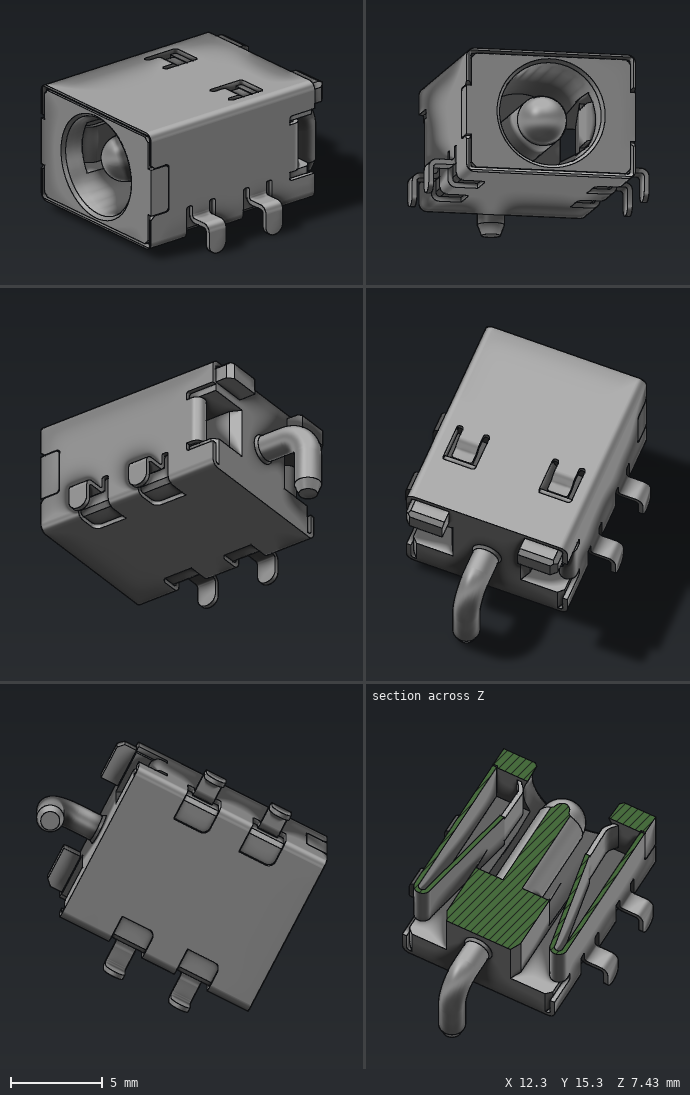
import cadquery as cq
import math


shell_width = 9.44
shell_height = 6.86
shell_depth = 11.51
sheet = 0.27
bend_outer = 0.45
bend_inner = bend_outer - sheet
lip_chamfer = 0.15
half_width = shell_width / 2
half_height = shell_height / 2

housing_width = shell_width - 2 * sheet
housing_height = shell_height - 2 * sheet
housing_half_width = housing_width / 2
housing_half_height = housing_height / 2
housing_chamfer = 0.26
rear_edge_chamfer = 0.32

mouth_radius = 3.02
mouth_chamfer = 0.18
bore_radius = mouth_radius - mouth_chamfer
floor_radius = 2.55
bore_depth = 7.62

channel_floor_x = 2.29
channel_half_height = 1.5
channel_front = 1.31
channel_flare_length = 0.63
channel_flare_depth = 0.3

key_depth = 1.22
key_half_height = 1.35
key_corner = 0.23
key_gap = 0.05
notch_lead_depth = 0.25
notch_lead_height = 0.21

window_front = 9.76
window_half_height = 1.9
window_corner = 0.15

spring_bend_y = 10.1
spring_bend_radius = 0.5
spring_root_half_height = 1.4
spring_finger_half_height = 1.05
spring_finger_back_y = 3.96
spring_finger_back_x = 2.5
spring_contact_x = 2.45
spring_contact_y = 2.1
spring_contact_radius = 0.65
spring_flare_angle = math.radians(40)
spring_tip_y = 1.37

leg_positions = (3.5, 7.5)
leg_width = 1.19
leg_tip_radius = 0.58
leg_span = 12.3
leg_outer_x = leg_span / 2
leg_top = -2.23
leg_bottom = -4.0
leg_slot_width = 0.41
leg_slot_top = -1.5
leg_slot_corner = 0.14
leg_opening_inner_x = 3.05
leg_opening_corner = 0.41

latch_center_x = 2.8
latch_front = 6.42
latch_back = 8.71
latch_width = 1.9
latch_slot = 0.35
latch_slot_corner = 0.15
latch_end_gap = 0.44
latch_corner = 0.18
latch_tab_corner = 0.15
latch_bend_front = 7.08
latch_bend_back = 7.76
latch_bend_inner = 0.34
latch_bend_outer = latch_bend_inner + sheet
latch_bend_angle = math.radians(36)
latch_pocket_back = 8.31
latch_pocket_depth = 0.61
latch_pocket_fillet = 0.58

lug_inner_x = 2.21
lug_bottom = 2.05
lug_back = 12.54
lug_top_chamfer = 0.15

pin_radius = 1.37
dome_radius = 1.31
dome_center_y = 2.05
dome_shoulder = 0.15
tail_radius = 0.75
tail_bend_radius = 1.5
tail_back = 15.25
tail_bottom = leg_bottom
tail_tip_radius = 0.52
tail_tip_length = 0.6
collar_radius = 0.85
collar_length = 0.18


def block(x0, x1, y0, y1, z0, z1):
    """Axis-aligned block between two opposite corners."""
    return cq.Workplane("XY").box(x1 - x0, y1 - y0, z1 - z0, centered=False).translate((x0, y0, z0))


def front_section(y=0.0):
    """Sketch plane facing the plug opening: local x is X, local y is Z, extrudes towards -Y."""
    return cq.Workplane("XZ", origin=(0, y, 0))


def both_sides(solid):
    """The given right-hand solid together with its mirror image."""
    return solid.union(solid.mirror("YZ"))


def make_shell():
    """Rounded rectangular tube with a bevelled inner lip at the front."""
    outer = front_section().rect(shell_width, shell_height).extrude(-shell_depth)
    outer = outer.edges("|Y").fillet(bend_outer)
    cavity = front_section().rect(housing_width, housing_height).extrude(-shell_depth)
    cavity = cavity.edges("|Y").fillet(bend_inner)
    shell = outer.cut(cavity)
    lip = (
        front_section()
        .rect(housing_width + 2 * lip_chamfer, housing_height + 2 * lip_chamfer)
        .workplane(offset=-lip_chamfer)
        .rect(housing_width, housing_height)
        .loft()
        .edges("not(|X or |Z)")
        .fillet(bend_inner)
    )
    return shell.cut(lip)


def key_notch():
    """Right-hand notch in the shell front edge, with sloped lead-in corners."""
    reach = key_half_height + key_gap
    notch = block(housing_half_width, half_width, 0, key_depth + key_gap, -reach, reach)
    notch = notch.edges("|X and >Y").fillet(key_corner)
    lead = (
        cq.Workplane("YZ", origin=(housing_half_width, 0, 0))
        .polyline([
            (0, -reach - notch_lead_height),
            (notch_lead_depth, -reach),
            (notch_lead_depth, reach),
            (0, reach + notch_lead_height),
        ])
        .close()
        .extrude(sheet)
    )
    return notch.union(lead)


def rear_window():
    """Right-hand shell window, open at the back, leaving the root of the spring."""
    window = block(
        housing_half_width, half_width, window_front, shell_depth, -window_half_height, window_half_height
    )
    window = window.edges("|X and <Y").fillet(window_corner)
    root = block(
        housing_half_width, half_width, window_front, spring_bend_y,
        -spring_root_half_height, spring_root_half_height,
    )
    return window.cut(root)


def leg_opening(y):
    """Right-hand shell opening from which one solder leg is bent out."""
    half = leg_width / 2 + leg_slot_width
    opening = block(leg_opening_inner_x, half_width, y - half, y + half, -half_height, leg_slot_top)
    opening = opening.edges("|Z and <X and <Y").fillet(leg_opening_corner)
    tongue = block(0, half_width, y - leg_width / 2, y + leg_width / 2, leg_top, leg_slot_top)
    return opening.cut(tongue).edges("|X and >Z").fillet(leg_slot_corner)


def solder_leg(y):
    """Right-hand leg: out from the shell wall, then down to a round end."""
    inner_x = leg_outer_x - sheet
    leg = (
        front_section(y + leg_width / 2)
        .moveTo(housing_half_width, leg_top + bend_inner)
        .lineTo(half_width, leg_top + bend_inner)
        .radiusArc((half_width + bend_inner, leg_top), -bend_inner)
        .lineTo(leg_outer_x - bend_outer, leg_top)
        .radiusArc((leg_outer_x, leg_top - bend_outer), bend_outer)
        .lineTo(leg_outer_x, leg_bottom)
        .lineTo(inner_x, leg_bottom)
        .lineTo(inner_x, leg_top - bend_outer)
        .radiusArc((inner_x - bend_inner, leg_top - sheet), -bend_inner)
        .lineTo(half_width + bend_inner, leg_top - sheet)
        .radiusArc((housing_half_width, leg_top + bend_inner), bend_outer)
        .close()
        .extrude(leg_width)
    )
    return leg.edges("|X and <Z").fillet(leg_tip_radius)


def make_housing():
    """Moulded body with the plug bore, spring channels, side keys and latch pockets."""
    body = front_section().rect(housing_width, housing_height).extrude(-shell_depth)
    body = body.edges("|Y").chamfer(housing_chamfer)

    key = block(0, half_width, 0, key_depth, -key_half_height, key_half_height)
    body = body.union(both_sides(key.edges("|X and >Y").fillet(key_corner)))

    bore = (
        cq.Workplane("XY")
        .polyline([
            (0, 0),
            (mouth_radius, 0),
            (bore_radius, mouth_chamfer),
            (floor_radius, bore_depth),
            (0, bore_depth),
        ])
        .close()
        .revolve(360, (0, 0, 0), (0, 1, 0))
    )
    body = body.cut(bore)

    channel = (
        cq.Workplane("XY", origin=(0, 0, -channel_half_height))
        .polyline([
            (channel_floor_x, channel_front),
            (channel_floor_x, shell_depth - channel_flare_length),
            (channel_floor_x - channel_flare_depth, shell_depth),
            (housing_half_width, shell_depth),
            (housing_half_width, channel_front),
        ])
        .close()
        .extrude(2 * channel_half_height)
    )
    lower_rear_edge = (
        cq.Workplane("XY", origin=(0, 0, -housing_half_height))
        .polyline([
            (housing_half_width - rear_edge_chamfer, shell_depth),
            (housing_half_width, shell_depth - rear_edge_chamfer),
            (housing_half_width, shell_depth),
        ])
        .close()
        .extrude(housing_half_height - channel_half_height)
    )
    latch_pocket = block(
        latch_center_x - latch_width / 2, latch_center_x + latch_width / 2,
        latch_front, latch_pocket_back,
        housing_half_height - latch_pocket_depth, housing_half_height,
    )
    for cutter in (channel, lower_rear_edge):
        body = body.cut(both_sides(cutter))
    left_pocket = latch_pocket.mirror("YZ").edges("|Y and >X and <Z").fillet(latch_pocket_fillet)
    return body.cut(latch_pocket).cut(left_pocket)


def rear_lug():
    """Right-hand lug behind the housing, bevelled on its outer, top and rear edges."""
    start = shell_depth - sheet
    side = housing_half_width
    top = housing_half_height
    bevel_start = lug_back - rear_edge_chamfer
    across = (
        front_section(start)
        .polyline([
            (lug_inner_x, lug_bottom),
            (side, lug_bottom),
            (side, top - housing_chamfer),
            (side - housing_chamfer, top),
            (lug_inner_x, top),
        ])
        .close()
        .extrude(start - lug_back)
    )
    plan = (
        cq.Workplane("XY")
        .polyline([
            (0, start),
            (side, start),
            (side, bevel_start),
            (side - rear_edge_chamfer, lug_back),
            (0, lug_back),
        ])
        .close()
        .extrude(top)
    )
    profile = (
        cq.Workplane("YZ")
        .polyline([
            (start, 0),
            (lug_back, 0),
            (lug_back, top - lug_top_chamfer),
            (bevel_start, top),
            (start, top),
        ])
        .close()
        .extrude(side)
    )
    return across.intersect(plan).intersect(profile)


def contact_spring():
    """Right-hand spring: hairpin bend at the back, leaf running forward to a curved contact."""
    leaf_x = half_width - 2 * spring_bend_radius
    hairpin = (
        cq.Workplane("XY", origin=(0, 0, -spring_root_half_height))
        .moveTo(half_width, spring_bend_y)
        .radiusArc((leaf_x, spring_bend_y), -spring_bend_radius)
        .lineTo(leaf_x + sheet, spring_bend_y)
        .radiusArc((half_width - sheet, spring_bend_y), spring_bend_radius - sheet)
        .close()
        .extrude(2 * spring_root_half_height)
    )
    leaf = (
        cq.Workplane("XY", origin=(0, 0, -spring_root_half_height))
        .polyline([
            (leaf_x, spring_bend_y),
            (spring_finger_back_x, spring_finger_back_y),
            (spring_finger_back_x + sheet, spring_finger_back_y),
            (leaf_x + sheet, spring_bend_y),
        ])
        .close()
        .extrude(2 * spring_root_half_height)
    )
    flare_x = spring_contact_x + spring_contact_radius * (1 - math.cos(spring_flare_angle))
    flare_y = spring_contact_y - spring_contact_radius * math.sin(spring_flare_angle)
    tip_x = flare_x + (flare_y - spring_tip_y) * math.tan(spring_flare_angle)
    finger = (
        cq.Workplane("XY", origin=(0, 0, -spring_finger_half_height))
        .moveTo(spring_finger_back_x, spring_finger_back_y)
        .lineTo(spring_contact_x, spring_contact_y)
        .radiusArc((flare_x, flare_y), -spring_contact_radius)
        .lineTo(tip_x, spring_tip_y)
        .lineTo(tip_x + sheet, spring_tip_y)
        .lineTo(flare_x + sheet, flare_y)
        .radiusArc((spring_contact_x + sheet, spring_contact_y), spring_contact_radius)
        .lineTo(spring_finger_back_x + sheet, spring_finger_back_y)
        .close()
        .extrude(2 * spring_finger_half_height)
    )
    return hairpin.union(leaf).union(finger)


def latch_opening():
    """Right-hand opening in the shell top, keeping the root of the latch tab between two slots."""
    opening = block(
        latch_center_x - latch_width / 2, latch_center_x + latch_width / 2,
        latch_front, latch_back,
        housing_half_height, half_height,
    )
    opening = opening.edges("|Z and >Y").fillet(latch_corner)
    tongue_half = latch_width / 2 - latch_slot
    tongue_root = block(
        latch_center_x - tongue_half, latch_center_x + tongue_half,
        latch_front, latch_bend_front,
        housing_half_height, half_height,
    )
    opening = opening.cut(tongue_root)
    return opening.edges("|Z and <Y").fillet(latch_slot_corner)


def latch_tab():
    """Right-hand latch tab, stepped down below the shell top."""
    tab_width = latch_width - 2 * latch_slot
    tab_end = latch_back - latch_end_gap
    outer_run = latch_bend_outer * math.sin(latch_bend_angle)
    inner_run = latch_bend_inner * math.sin(latch_bend_angle)
    outer_fall = latch_bend_outer * (1 - math.cos(latch_bend_angle))
    inner_fall = latch_bend_inner * (1 - math.cos(latch_bend_angle))
    ramp_run = latch_bend_back - latch_bend_front - outer_run - inner_run
    drop = outer_fall + ramp_run * math.tan(latch_bend_angle) + inner_fall
    tab_top = half_height - drop
    tab_bottom = tab_top - sheet
    tab = (
        cq.Workplane("YZ", origin=(latch_center_x - tab_width / 2, 0, 0))
        .moveTo(latch_front, half_height)
        .lineTo(latch_bend_front, half_height)
        .radiusArc((latch_bend_front + outer_run, half_height - outer_fall), latch_bend_outer)
        .lineTo(latch_bend_back - inner_run, tab_top + inner_fall)
        .radiusArc((latch_bend_back, tab_top), -latch_bend_inner)
        .lineTo(tab_end, tab_top)
        .lineTo(tab_end, tab_bottom)
        .lineTo(latch_bend_back, tab_bottom)
        .radiusArc((latch_bend_back - outer_run, tab_bottom + outer_fall), latch_bend_outer)
        .lineTo(latch_bend_front + inner_run, housing_half_height - inner_fall)
        .radiusArc((latch_bend_front, housing_half_height), -latch_bend_inner)
        .lineTo(latch_front, housing_half_height)
        .close()
        .extrude(tab_width)
    )
    return tab.edges("|Z and >Y").fillet(latch_tab_corner)


def make_pin():
    """Domed contact head, collar, and a tail bent downwards to a tapered tip."""
    shoulder_y = dome_center_y + dome_shoulder
    dome_tip_y = dome_center_y - dome_radius
    bend_start = tail_back - tail_radius - tail_bend_radius
    head = (
        cq.Workplane("XY")
        .moveTo(0, dome_tip_y)
        .radiusArc((dome_radius, dome_center_y), -dome_radius)
        .lineTo(pin_radius, shoulder_y)
        .lineTo(pin_radius, shell_depth - sheet)
        .lineTo(collar_radius, shell_depth - sheet)
        .lineTo(collar_radius, shell_depth)
        .lineTo(tail_radius, shell_depth + collar_length)
        .lineTo(tail_radius, bend_start)
        .lineTo(0, bend_start)
        .close()
        .revolve(360, (0, 0, 0), (0, 1, 0))
    )
    elbow = (
        front_section(bend_start)
        .circle(tail_radius)
        .revolve(90, (0.15, -tail_bend_radius, 0), (-0.15, -tail_bend_radius, 0))
    )
    tip_top = tail_bottom + tail_tip_length
    tail = (
        cq.Workplane("XY", origin=(0, tail_back - tail_radius, tail_bottom))
        .circle(tail_tip_radius)
        .workplane(offset=tail_tip_length)
        .circle(tail_radius)
        .loft()
        .faces(">Z")
        .workplane()
        .circle(tail_radius)
        .extrude(-tail_bend_radius - tip_top)
    )
    return head.union(elbow).union(tail)


shell = make_shell()
for opening in (key_notch(), rear_window(), latch_opening()):
    shell = shell.cut(both_sides(opening))
for leg_y in leg_positions:
    shell = shell.cut(both_sides(leg_opening(leg_y)))
    shell = shell.union(both_sides(solder_leg(leg_y)))

result = make_housing().union(shell)
for feature in (rear_lug(), contact_spring(), latch_tab()):
    result = result.union(both_sides(feature))
result = result.union(make_pin())